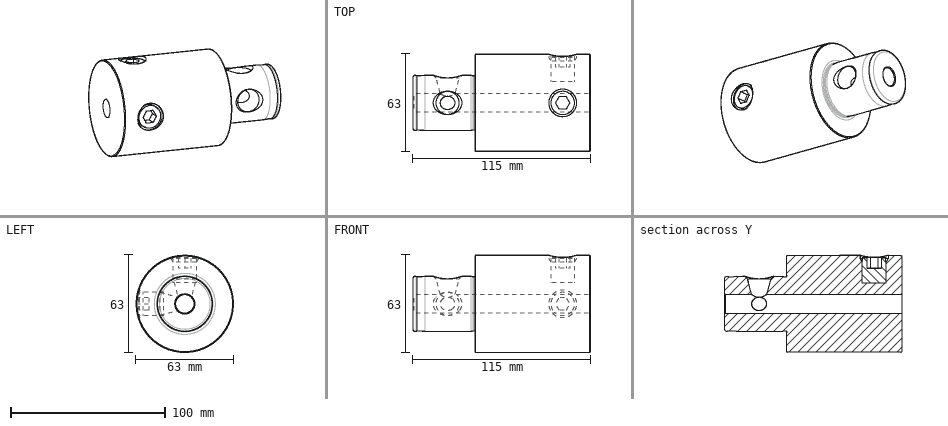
import cadquery as cq
import math

total_length = 115.0
body_radius = 31.5
body_chamfer = 0.6
shoulder_x = 40.0

shank_radius = 17.9
nose_radius = 1.5
nose_end_x = 2.1
lead_start_x = 2.8
lead_end_x = 7.9
relief_depth = 0.3
relief_start_x = 37.5
relief_floor_x = 38.9
relief_fillet = 0.6
shoulder_relief_radius = 19.8

bore_radius = 6.0
bore_chamfer = 0.6

cross_hole_x = 22.4
countersink_top_radius = 9.3
cone_top_radius = 7.5
cone_half_angle = 15.0

screw_x = 97.0
mouth_radius = 9.0
mouth_taper_top = 29.3
mouth_taper_bottom = 27.0
screw_radius = 7.6
screw_face_height = 30.0
screw_bottom_height = 13.8
socket_across_flats = 8.0
socket_depth = 6.9

FEATURE_ANGLES = (0, -90)


def turned(profile):
    """Revolve an (axial, radial) profile about the X axis."""
    return profile.close().revolve(360, (0, 0, 0), (1, 0, 0))


def upright_cone(x, bottom_z, bottom_radius, top_z, top_radius):
    """Frustum with its axis along Z at the given X."""
    return (
        cq.Workplane("XZ")
        .moveTo(0, bottom_z)
        .lineTo(bottom_radius, bottom_z)
        .lineTo(top_radius, top_z)
        .lineTo(0, top_z)
        .close()
        .revolve(360, (0, 0, 0), (0, 1, 0))
        .translate((x, 0, 0))
    )


def around_axis(shape, angle):
    """Turn a +Z facing shape about the X axis."""
    return shape.rotate((0, 0, 0), (1, 0, 0), angle)


def housing_blank():
    """Shank and body as one turned solid, without holes."""
    neck_radius = shank_radius - relief_depth
    nose_center_radius = shank_radius - nose_radius
    nose_end_radius = nose_center_radius + math.sqrt(nose_radius**2 - (nose_end_x - nose_radius) ** 2)
    nose_mid = nose_radius * math.sqrt(0.5)
    fillet_start_x = shoulder_x - relief_depth
    fillet_mid = relief_fillet * math.sqrt(0.5)
    return turned(
        cq.Workplane("XY")
        .lineTo(0, nose_center_radius)
        .threePointArc((nose_radius - nose_mid, nose_center_radius + nose_mid),
                       (nose_end_x, nose_end_radius))
        .lineTo(lead_start_x, neck_radius)
        .lineTo(lead_end_x, shank_radius)
        .lineTo(relief_start_x, shank_radius)
        .lineTo(relief_floor_x, neck_radius)
        .lineTo(fillet_start_x, neck_radius)
        .threePointArc((fillet_start_x + fillet_mid, neck_radius + relief_fillet - fillet_mid),
                       (fillet_start_x + relief_fillet, neck_radius + relief_fillet))
        .lineTo(shoulder_x, shoulder_relief_radius)
        .lineTo(shoulder_x, body_radius - body_chamfer)
        .lineTo(shoulder_x + body_chamfer, body_radius)
        .lineTo(total_length - body_chamfer, body_radius)
        .lineTo(total_length, body_radius - body_chamfer)
        .lineTo(total_length, 0)
    )


def bore():
    """Through bore with a chamfered mouth at the shank end."""
    return turned(
        cq.Workplane("XY")
        .lineTo(0, bore_radius + bore_chamfer)
        .lineTo(bore_chamfer, bore_radius)
        .lineTo(total_length, bore_radius)
        .lineTo(total_length, 0)
    )


def cross_hole():
    """Countersunk conical hole from the top of the shank into the bore."""
    cone_top = shank_radius - (countersink_top_radius - cone_top_radius)
    cone_axis_radius = cone_top_radius - cone_top * math.tan(math.radians(cone_half_angle))
    cone = upright_cone(cross_hole_x, 0, cone_axis_radius, cone_top, cone_top_radius)
    countersink = upright_cone(cross_hole_x, cone_top, cone_top_radius, shank_radius, countersink_top_radius)
    return cone.union(countersink)


def screw_blank():
    """Cylinder that a clamping screw fills."""
    return upright_cone(screw_x, screw_bottom_height, screw_radius, screw_face_height, screw_radius)


def screw_hole():
    """Screw seat opening through a wider mouth with a conical floor."""
    taper = upright_cone(screw_x, mouth_taper_bottom, screw_radius, mouth_taper_top, mouth_radius)
    mouth = upright_cone(screw_x, mouth_taper_top, mouth_radius, body_radius, mouth_radius)
    return screw_blank().union(taper).union(mouth)


def clamping_screw():
    """Headless screw with a hexagon socket, corners pointing along X."""
    socket_diameter = socket_across_flats / math.cos(math.radians(30))
    socket = (
        cq.Workplane("XY", origin=(screw_x, 0, screw_face_height))
        .polygon(6, socket_diameter)
        .extrude(-socket_depth)
    )
    return screw_blank().cut(socket)


housing = housing_blank().cut(bore())
screws = []
for angle in FEATURE_ANGLES:
    housing = housing.cut(around_axis(cross_hole(), angle))
    housing = housing.cut(around_axis(screw_hole(), angle))
    screws.append(around_axis(clamping_screw(), angle).val())

result = cq.Compound.makeCompound([housing.val(), *screws])